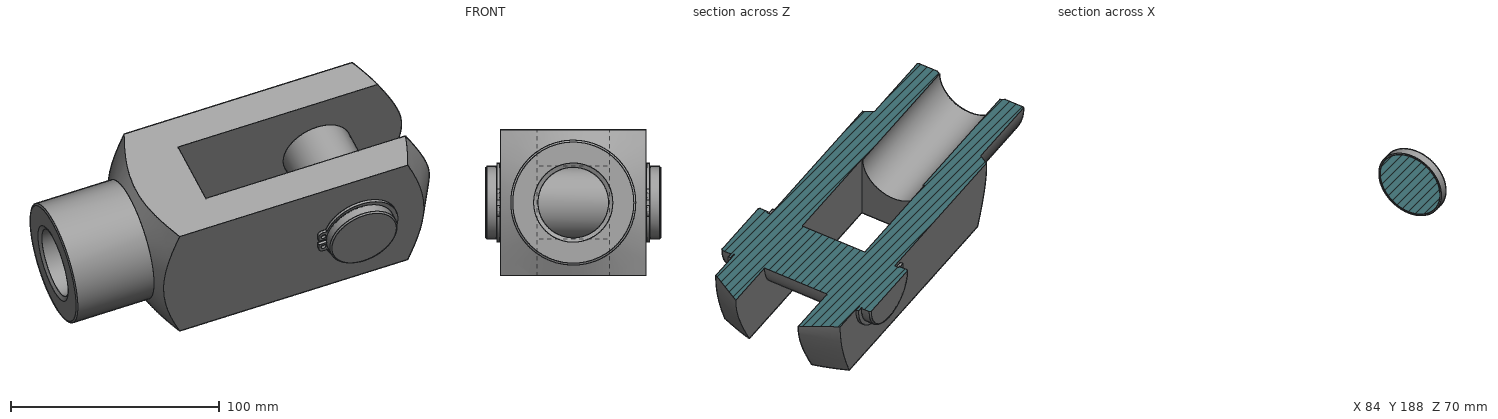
import cadquery as cq
import math

body_side = 70.0
total_length = 188.0
cone_angle = 30.0
cone_slope = math.tan(math.radians(cone_angle))
corner_radius = body_side / math.sqrt(2)

neck_diameter = 60.0
neck_length = 40.0
neck_bevel_radial = 1.0
bore_diameter = 33.8
bore_mouth_diameter = 38.0

slot_width = 35.0
slot_floor_y = 72.0

pin_diameter = 35.0
pin_length = 84.0
pin_y = 144.0
pin_bevel = 0.8

groove_diameter = 33.5
groove_width = 1.9
ring_outer_diameter = 38.0
ring_offset = 0.8
ring_thickness = 1.5
ring_gap = 2.6
ring_clearance = 0.2
lug_outer_width = 13.2
lug_reach = 21.2
lug_corner_radius = 2.3
lug_hole_diameter = 2.5
lug_hole_reach = 18.8
lug_hole_spacing = 7.3


def make_body():
    """Square bar with a turned neck and conical ends, slotted and bored."""
    neck_radius = neck_diameter / 2
    bevel_length = neck_bevel_radial * cone_slope
    shoulder_rise = (corner_radius - neck_radius) * cone_slope
    slot_edge = slot_width / 2
    tip_drop = (corner_radius - slot_edge) * cone_slope

    turned = (
        cq.Workplane("XY")
        .lineTo(neck_radius - neck_bevel_radial, 0)
        .lineTo(neck_radius, bevel_length)
        .lineTo(neck_radius, neck_length)
        .lineTo(corner_radius, neck_length + shoulder_rise)
        .lineTo(corner_radius, total_length - tip_drop)
        .lineTo(slot_edge, total_length)
        .lineTo(0, total_length)
        .close()
        .revolve(360, (0, 0, 0), (0, 1, 0))
    )
    square_bar = (
        cq.Workplane("XY")
        .box(body_side, total_length, body_side)
        .translate((0, total_length / 2, 0))
    )
    slot_length = total_length - slot_floor_y
    slot = (
        cq.Workplane("XY")
        .box(slot_width, slot_length, body_side)
        .translate((0, slot_floor_y + slot_length / 2, 0))
    )
    return turned.intersect(square_bar).cut(slot).cut(make_bore())


def make_bore():
    """Bore from the neck end into the slot, with a conical mouth."""
    bore_radius = bore_diameter / 2
    mouth_radius = bore_mouth_diameter / 2
    mouth_depth = (mouth_radius - bore_radius) * cone_slope
    return (
        cq.Workplane("XY")
        .lineTo(mouth_radius, 0)
        .lineTo(bore_radius, mouth_depth)
        .lineTo(bore_radius, slot_floor_y)
        .lineTo(0, slot_floor_y)
        .close()
        .revolve(360, (0, 0, 0), (0, 1, 0))
    )


def disc_along_x(diameter, thickness, start_x, y):
    """Cylinder along +X from start_x, centred on the body axis at the given y."""
    return cq.Workplane("YZ", origin=(start_x, y, 0)).circle(diameter / 2).extrude(thickness)


def make_pin():
    """Clevis pin with bevelled ends and a ring groove outside each arm."""
    pin = disc_along_x(pin_diameter, pin_length, -pin_length / 2, pin_y)
    pin = pin.faces("<X or >X").chamfer(pin_bevel)
    for groove_start in (body_side / 2, -body_side / 2 - groove_width):
        groove = disc_along_x(pin_diameter, groove_width, groove_start, pin_y).cut(
            disc_along_x(groove_diameter, groove_width, groove_start, pin_y)
        )
        pin = pin.cut(groove)
    return pin


def make_ring(start_x):
    """Eccentric open retaining ring with two drilled lugs towards the neck."""
    ring = disc_along_x(ring_outer_diameter, ring_thickness, start_x, pin_y + ring_offset)
    plane = cq.Workplane("YZ", origin=(start_x, pin_y, 0))
    lugs = (
        plane.center(-lug_reach / 2, 0)
        .rect(lug_reach, lug_outer_width)
        .extrude(ring_thickness)
        .edges("|X and <Y")
        .fillet(lug_corner_radius)
    )
    holes = (
        plane.pushPoints([(-lug_hole_reach, side * lug_hole_spacing / 2) for side in (-1, 1)])
        .circle(lug_hole_diameter / 2)
        .extrude(ring_thickness)
    )
    gap = plane.center(-lug_reach / 2, 0).rect(lug_reach, ring_gap).extrude(ring_thickness)
    seat = disc_along_x(groove_diameter, ring_thickness, start_x, pin_y)
    return ring.union(lugs).cut(holes).cut(gap).cut(seat)


ring_inner_x = body_side / 2 + ring_clearance
result = make_body().union(make_pin())
for ring_start in (ring_inner_x, -ring_inner_x - ring_thickness):
    result = result.union(make_ring(ring_start))